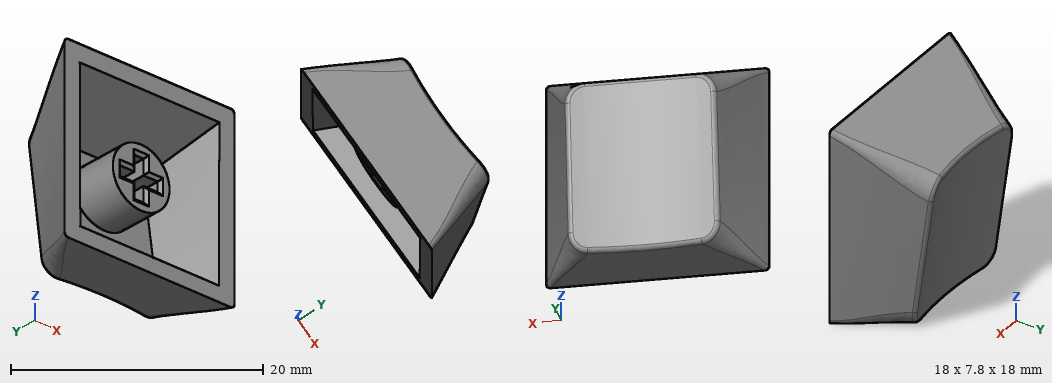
import cadquery as cq
import math

BASE_SIDE = 18.0
WALL = 1.5

CROWN_HALF_WIDTH = 6.0
CROWN_BOTTOM_HEIGHT = 6.04
CROWN_TILT = math.radians(8.0)
TOP_WALL_LEAN = math.radians(27.3)

RIM_CORNER_RADIUS = 0.4
CROWN_CORNER_RADIUS = 1.65
CORNER_STEPS = 8

DISH_RADIUS = 33.0
CROWN_EDGE_RADIUS = 0.4

STEM_DIAMETER = 6.0
STEM_FACE_HEIGHT = 1.0
CROSS_LENGTH = 3.98
CROSS_ARM_WIDTH = 0.96
CROSS_CHAMFER_WIDTH = 0.33
CROSS_CHAMFER_DEPTH = 0.27

HALF_SIDE = BASE_SIDE / 2
CROWN_SLOPE = math.tan(CROWN_TILT)
LEAN_SLOPE = math.tan(TOP_WALL_LEAN)
CROWN_TOP_HEIGHT = (CROWN_BOTTOM_HEIGHT + CROWN_SLOPE * BASE_SIDE) / (1 + CROWN_SLOPE * LEAN_SLOPE)
CROWN_TOP_Z = HALF_SIDE - LEAN_SLOPE * CROWN_TOP_HEIGHT


def section(rise):
    """Sharp rectangular outline at a fraction of the way from rim (0) to crown (1)."""
    bottom_y = rise * CROWN_BOTTOM_HEIGHT
    top_y = rise * CROWN_TOP_HEIGHT
    top_z = HALF_SIDE + rise * (CROWN_TOP_Z - HALF_SIDE)
    half_width = HALF_SIDE + rise * (CROWN_HALF_WIDTH - HALF_SIDE)
    corners = [
        cq.Vector(-half_width, bottom_y, -HALF_SIDE),
        cq.Vector(half_width, bottom_y, -HALF_SIDE),
        cq.Vector(half_width, top_y, top_z),
        cq.Vector(-half_width, top_y, top_z),
    ]
    return cq.Wire.makePolygon(corners, close=True)


def rounded_section(rise):
    """Section whose corner radius grows smoothly from the rim value to the crown value."""
    blend = rise ** 2 * (3 - 2 * rise)
    radius = RIM_CORNER_RADIUS + blend * (CROWN_CORNER_RADIUS - RIM_CORNER_RADIUS)
    outline = section(rise)
    return outline.fillet2D(radius, outline.Vertices())


def outer_body():
    """Solid keycap with growing corner rounds, a dished crown and a softened crown edge."""
    sections = [rounded_section(step / CORNER_STEPS) for step in range(CORNER_STEPS + 1)]
    body = cq.Workplane(cq.Solid.makeLoft(sections)).cut(finger_dish())
    return body.faces("%CYLINDER").edges().fillet(CROWN_EDGE_RADIUS)


def finger_dish():
    """Cylinder along the crown slope, passing through both long edges of the crown."""
    along = cq.Vector(0, math.sin(CROWN_TILT), math.cos(CROWN_TILT))
    outward = cq.Vector(0, math.cos(CROWN_TILT), -math.sin(CROWN_TILT))
    axis_height = math.sqrt(DISH_RADIUS ** 2 - CROWN_HALF_WIDTH ** 2)
    crown_bottom = cq.Vector(0, CROWN_BOTTOM_HEIGHT, -HALF_SIDE)
    overrun = BASE_SIDE
    start = crown_bottom + outward * axis_height - along * overrun
    return cq.Workplane(cq.Solid.makeCylinder(DISH_RADIUS, BASE_SIDE + 2 * overrun, start, along))


def cavity():
    """Inside space: the sharp-cornered, undished keycap shrunk by the wall thickness."""
    sharp_body = cq.Workplane(cq.Solid.makeLoft([section(0), section(1)], True))
    return sharp_body.cut(sharp_body.faces("<Y").shell(-WALL))


def cross_outline(growth):
    """Sketch of the cross, enlarged by `growth` on every side."""
    length = CROSS_LENGTH + 2 * growth
    width = CROSS_ARM_WIDTH + 2 * growth
    return cq.Sketch().rect(length, width).rect(width, length).clean()


def stem():
    """Round stem long enough to cross the whole cavity, with a chamfered cross-shaped socket."""
    length = CROWN_TOP_HEIGHT - STEM_FACE_HEIGHT
    face = cq.Workplane("XZ", origin=(0, STEM_FACE_HEIGHT, 0))
    post = face.circle(STEM_DIAMETER / 2).extrude(-length)
    socket = face.placeSketch(cross_outline(0)).extrude(-length)
    chamfer = face.placeSketch(
        cross_outline(CROSS_CHAMFER_WIDTH),
        cross_outline(0).moved(cq.Location(cq.Vector(0, 0, -CROSS_CHAMFER_DEPTH))),
    ).loft()
    return post.cut(socket).cut(chamfer)


hollow_space = cavity()
result = outer_body().cut(hollow_space).union(stem().intersect(hollow_space))